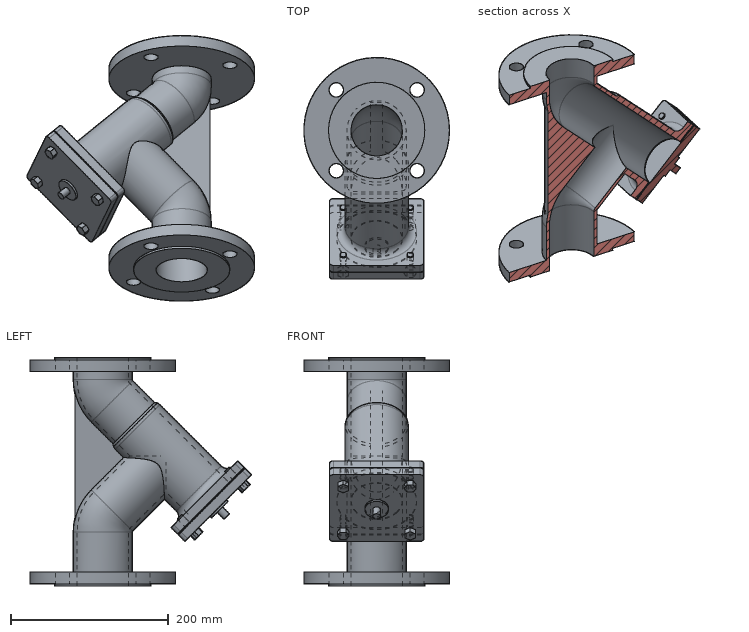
import cadquery as cq
import math

HEIGHT = 290.0
PIPE_DIA = 75.0
BORE_DIA = 65.0

FLANGE_DIA = 185.0
FLANGE_THICKNESS = 15.0
FACE_DIA = 122.0
FACE_HEIGHT = 3.0
FLANGE_HOLE_DIA = 18.0
FLANGE_HOLE_CIRCLE = 145.0
FLANGE_HOLES = 4
FIRST_HOLE_ANGLE = 45

BEND_ANGLE = math.radians(45)
BEND_RADIUS = 39.2
UPPER_BEND_Z = HEIGHT - 28.0
LOWER_BEND_Z = 68.5

TUBE_DIA = 81.0
TUBE_START = 39.2
CONE_LENGTH = 3.0
CONE_RISE = 2.3
TAPER_LENGTH = 3.8
FOOT_RADIUS = 10.2
SEAT_START = 166.2

PLATE_SIDE = 119.8
PLATE_THICKNESS = 12.0
PLATE_CORNER_RADIUS = 5.0
GASKET_THICKNESS = 1.2
GASKET_DIA = TUBE_DIA + 2 * FOOT_RADIUS
BOSS_DIA = 30.0
BOSS_HEIGHT = 3.0
DRAIN_DIA = 10.0
DRAIN_LENGTH = 15.0

BOLTS = 4
BOLT_SPACING = 85.0
BOLT_DIA = 8.0
BOLT_TIP = 2.0
BOLT_HEAD_FLATS = 13.0
BOLT_HEAD_HEIGHT = 7.5

WEB_Y = 35.5
WEB_THICKNESS = 15.0

SIN = math.sin(BEND_ANGLE)
COS = math.cos(BEND_ANGLE)


def bend_point(start_z, rise, angle):
    """(y, z) on a bend's centre line after turning by angle; rise is +1 upward, -1 downward."""
    return (-BEND_RADIUS * (1 - math.cos(angle)), start_z + rise * BEND_RADIUS * math.sin(angle))


UPPER_END = bend_point(UPPER_BEND_Z, -1, BEND_ANGLE)
LOWER_END = bend_point(LOWER_BEND_Z, 1, BEND_ANGLE)
BRANCH_LENGTH = (LOWER_END[0] - UPPER_END[0]) * SIN + (UPPER_END[1] - LOWER_END[1]) * COS
JUNCTION = (LOWER_END[0] - BRANCH_LENGTH * SIN, LOWER_END[1] + BRANCH_LENGTH * COS)
SEAT_END = SEAT_START + PLATE_THICKNESS
COVER_START = SEAT_END + GASKET_THICKNESS
COVER_END = COVER_START + PLATE_THICKNESS


def strainer_point(distance):
    """(y, z) on the strainer axis at a distance from the end of the upper bend."""
    return (UPPER_END[0] - distance * SIN, UPPER_END[1] - distance * COS)


def across_axis(distance):
    """Workplane square to the strainer axis, facing away from the upper bend."""
    y, z = strainer_point(distance)
    return cq.Workplane(cq.Plane(origin=(0, y, z), xDir=(1, 0, 0), normal=(0, -SIN, -COS)))


def along_axis():
    """Workplane whose local Y direction is the strainer axis, starting at the upper bend."""
    y, z = UPPER_END
    return cq.Workplane(cq.Plane(origin=(0, y, z), xDir=(1, 0, 0), normal=(0, COS, -SIN)))


def bent_rod(diameter, mouth_z, bend_z, rise, end):
    """Round rod running from a pipe mouth, through a bend, to the end point."""
    path = (
        cq.Workplane("YZ")
        .moveTo(0, mouth_z)
        .lineTo(0, bend_z)
        .threePointArc(bend_point(bend_z, rise, BEND_ANGLE / 2), bend_point(bend_z, rise, BEND_ANGLE))
        .lineTo(*end)
    )
    return cq.Workplane("XY", origin=(0, 0, mouth_z)).circle(diameter / 2).sweep(path)


def upper_rod(diameter, reach):
    """Rod through the upper bend, reaching a distance along the strainer axis."""
    return bent_rod(diameter, HEIGHT, UPPER_BEND_Z, -1, strainer_point(reach))


def lower_rod(diameter):
    """Rod through the lower bend, reaching the strainer axis."""
    return bent_rod(diameter, 0, LOWER_BEND_Z, 1, JUNCTION)


def pipe_flange(face_z, inward):
    """Drilled flange with a raised face at face_z; inward is the Z direction into the part."""
    back = cq.Workplane("XY", origin=(0, 0, face_z + inward * FACE_HEIGHT))
    face = back.circle(FACE_DIA / 2).extrude(-inward * FACE_HEIGHT)
    disc = back.circle(FLANGE_DIA / 2).extrude(inward * FLANGE_THICKNESS)
    holes = (
        back.polarArray(FLANGE_HOLE_CIRCLE / 2, FIRST_HOLE_ANGLE, 360, FLANGE_HOLES)
        .circle(FLANGE_HOLE_DIA / 2)
        .extrude(inward * FLANGE_THICKNESS)
    )
    return disc.cut(holes).union(face)


def strainer_tube():
    """Tube with a steep cone and a slight taper at the pipe end and a filleted foot at the seat."""
    pipe_radius = PIPE_DIA / 2
    tube_radius = TUBE_DIA / 2
    cone_end = TUBE_START + CONE_LENGTH
    foot_start = SEAT_START - FOOT_RADIUS
    arc_middle = (
        tube_radius + FOOT_RADIUS * (1 - math.cos(math.pi / 4)),
        foot_start + FOOT_RADIUS * math.sin(math.pi / 4),
    )
    return (
        along_axis()
        .moveTo(0, TUBE_START)
        .lineTo(pipe_radius, TUBE_START)
        .lineTo(pipe_radius + CONE_RISE, cone_end)
        .lineTo(tube_radius, cone_end + TAPER_LENGTH)
        .lineTo(tube_radius, foot_start)
        .threePointArc(arc_middle, (tube_radius + FOOT_RADIUS, SEAT_START))
        .lineTo(0, SEAT_START)
        .close()
        .revolve(360, (0, 0, 0), (0, 1, 0))
    )


def square_plate(start):
    """Plate with rounded corners, square to the strainer axis."""
    outline = cq.Sketch().rect(PLATE_SIDE, PLATE_SIDE).vertices().fillet(PLATE_CORNER_RADIUS)
    return across_axis(start).placeSketch(outline).extrude(PLATE_THICKNESS)


def bolt_shanks():
    """Four bolt shanks from just behind the seat to the outer face of the cover."""
    return (
        across_axis(SEAT_START - BOLT_TIP)
        .rect(BOLT_SPACING, BOLT_SPACING, forConstruction=True)
        .vertices()
        .circle(BOLT_DIA / 2)
        .extrude(COVER_END - SEAT_START + BOLT_TIP)
    )


def bolt_head(quarter_turns):
    """Hexagon head at one cover corner, turned about the strainer axis."""
    return (
        across_axis(COVER_END)
        .transformed(rotate=(0, 0, 90 * quarter_turns))
        .center(-BOLT_SPACING / 2, BOLT_SPACING / 2)
        .polygon(6, BOLT_HEAD_FLATS, circumscribed=True)
        .extrude(BOLT_HEAD_HEIGHT)
    )


def web():
    """Flat web in the corner between the two bends and the strainer tube."""
    return (
        cq.Workplane("YZ")
        .moveTo(0, LOWER_BEND_Z)
        .lineTo(WEB_Y, LOWER_BEND_Z)
        .lineTo(WEB_Y, UPPER_BEND_Z)
        .lineTo(0, UPPER_BEND_Z)
        .lineTo(*UPPER_END)
        .lineTo(*JUNCTION)
        .lineTo(*LOWER_END)
        .close()
        .extrude(WEB_THICKNESS / 2, both=True)
    )


def make_housing():
    """Flanged Y-shaped pipework with its web and the square seat for the cover."""
    body = (
        web()
        .union(upper_rod(PIPE_DIA, TUBE_START))
        .union(lower_rod(PIPE_DIA))
        .union(strainer_tube())
        .union(square_plate(SEAT_START))
        .union(pipe_flange(HEIGHT, -1))
        .union(pipe_flange(0, 1))
    )
    return body.cut(upper_rod(BORE_DIA, SEAT_END)).cut(lower_rod(BORE_DIA)).cut(bolt_shanks())


def make_gasket():
    """Flat ring between the seat and the cover, inside the bolts."""
    return across_axis(SEAT_END).circle(GASKET_DIA / 2).circle(BORE_DIA / 2).extrude(GASKET_THICKNESS)


def make_cover():
    """Square cover with its drain boss and stub and the four hexagon bolts."""
    outside = across_axis(COVER_END)
    boss = outside.circle(BOSS_DIA / 2).extrude(BOSS_HEIGHT)
    drain = outside.circle(DRAIN_DIA / 2).extrude(DRAIN_LENGTH)
    body = square_plate(COVER_START).union(boss).union(drain).union(bolt_shanks())
    for quarter_turns in range(BOLTS):
        body = body.union(bolt_head(quarter_turns))
    return body


housing = make_housing()
gasket = make_gasket()
cover = make_cover()
result = cq.Compound.makeCompound([housing.val(), gasket.val(), cover.val()])